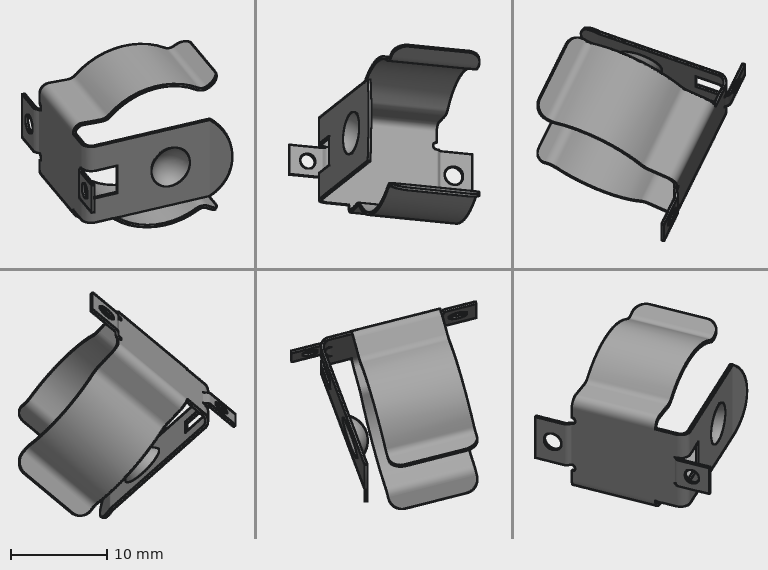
import cadquery as cq
import math


THICKNESS = 0.3
HALF_SHEET = THICKNESS / 2
CORNER_BEND = 0.8 + HALF_SHEET

BASE_LEFT = 3.98
BASE_RIGHT = 15.92
BASE_HALF_HEIGHT = 4.47
BASE_OFFSET = 0.4
BASE_MID_Y = BASE_OFFSET + HALF_SHEET
RELIEF_RADIUS = 0.4

ARM_WIDTH = 9.55
CELL_Y = 10.24
CELL_RADIUS = 8.01
GRIP_RADIUS = CELL_RADIUS + HALF_SHEET
FLARE_RADIUS = 1.2 + HALF_SHEET
MOUTH_RADIUS = 1.0 + HALF_SHEET
MOUTH_ANGLE = 30.0
ARM_LIP_ANGLE = 30.0
ARM_LIP_LENGTH = 1.61
ARM_LIP_CORNER = 1.5

LEAF_LEAN = 5.0
LEAF_LENGTH = 13.22
LEAF_LIP_ANGLE = 15.0
LEAF_LIP_BEND = 0.1 + HALF_SHEET
LEAF_LIP_LENGTH = 2.37
DOME_RADIUS = 2.43
DOME_HEIGHT = 1.53
WINDOW_TOP = 4.12

OVERALL_LENGTH = 19.88
JOGGLE_ANGLE = 45.0
TAB_BEND = 0.3 + HALF_SHEET
LEFT_ROOT_BEND = 0.02 + HALF_SHEET
RIGHT_ROOT_BEND = 0.2 + HALF_SHEET
RIGHT_ROOT = 15.7
LEFT_TAB_HALF_HEIGHT = 2.55
LEFT_HOLE_RADIUS = 1.0
RIGHT_TAB_HALF_HEIGHT = 1.61
RIGHT_HOLE_RADIUS = 0.82
HOLE_INSET = 1.99


def sin(angle):
    return math.sin(math.radians(angle))


def cos(angle):
    return math.cos(math.radians(angle))


def shift(point, heading, distance):
    """Point moved by a distance along a heading, in the plane of the profile."""
    return (point[0] + distance * cos(heading), point[1] + distance * sin(heading))


def advance(point, heading, step):
    """Follow ("straight", length) or ("bend", turn, radius) along the middle of the sheet."""
    if step[0] == "straight":
        return shift(point, heading, step[1]), heading
    turn, radius = step[1:]
    chord = 2 * radius * sin(abs(turn) / 2)
    return shift(point, heading + turn / 2, chord), heading + turn


def strip(plane, point, heading, steps, half_width):
    """Bent strip centred on the profile plane; also returns where its middle ends."""
    solid = cq.Workplane(plane)
    for step in steps:
        end, end_heading = advance(point, heading, step)
        left = shift(point, heading + 90, HALF_SHEET)
        right = shift(point, heading - 90, HALF_SHEET)
        end_left = shift(end, end_heading + 90, HALF_SHEET)
        end_right = shift(end, end_heading - 90, HALF_SHEET)
        outline = cq.Workplane(plane).moveTo(*left)
        if step[0] == "straight":
            outline = outline.lineTo(*end_left).lineTo(*end_right).lineTo(*right)
        else:
            half_step = ("bend", step[1] / 2, step[2])
            middle, middle_heading = advance(point, heading, half_step)
            outline = (
                outline.threePointArc(shift(middle, middle_heading + 90, HALF_SHEET), end_left)
                .lineTo(*end_right)
                .threePointArc(shift(middle, middle_heading - 90, HALF_SHEET), right)
            )
        solid = solid.add(outline.close().extrude(half_width, both=True))
        point, heading = end, end_heading
    return solid.combine(), point, heading


def sheet_plane(profile, point, heading):
    """Plane lying in the middle of the sheet: its x axis continues along the strip."""
    origin = profile.toWorldCoords(point)
    along = profile.toWorldCoords(shift(point, heading, 0.2)) - origin
    normal = along.cross(profile.zDir)
    return cq.Plane(origin=origin, xDir=along, normal=normal)


base = (
    cq.Workplane("XY")
    .box(BASE_RIGHT - BASE_LEFT, THICKNESS, 2 * BASE_HALF_HEIGHT)
    .translate(((BASE_LEFT + BASE_RIGHT) / 2, BASE_MID_Y, 0))
)


def spring_arm():
    """Upper arm: corner bend, flat wall, flare, grip around the cell, mouth bend and lip."""
    wall_z = BASE_HALF_HEIGHT + CORNER_BEND
    flare_angle = math.degrees(math.acos((wall_z + FLARE_RADIUS) / (GRIP_RADIUS + FLARE_RADIUS)))
    flare_start = CELL_Y - (GRIP_RADIUS + FLARE_RADIUS) * sin(flare_angle)
    wall_length = flare_start - BASE_MID_Y - CORNER_BEND

    profile = cq.Plane(origin=(BASE_LEFT + ARM_WIDTH / 2, 0, 0), xDir=(0, 1, 0), normal=(1, 0, 0))
    steps = [
        ("bend", -90, CORNER_BEND),
        ("straight", wall_length),
        ("bend", flare_angle, FLARE_RADIUS),
        ("bend", -flare_angle - MOUTH_ANGLE, GRIP_RADIUS),
        ("bend", MOUTH_ANGLE + ARM_LIP_ANGLE, MOUTH_RADIUS),
    ]
    arm, end, heading = strip(profile, (BASE_MID_Y, BASE_HALF_HEIGHT), 90, steps, ARM_WIDTH / 2)
    lip = (
        cq.Workplane(sheet_plane(profile, end, heading))
        .moveTo(0, -ARM_WIDTH / 2)
        .lineTo(ARM_LIP_LENGTH - ARM_LIP_CORNER, -ARM_WIDTH / 2)
        .radiusArc((ARM_LIP_LENGTH, ARM_LIP_CORNER - ARM_WIDTH / 2), -ARM_LIP_CORNER)
        .lineTo(ARM_LIP_LENGTH, ARM_WIDTH / 2 - ARM_LIP_CORNER)
        .radiusArc((ARM_LIP_LENGTH - ARM_LIP_CORNER, ARM_WIDTH / 2), -ARM_LIP_CORNER)
        .lineTo(0, ARM_WIDTH / 2)
        .close()
        .extrude(HALF_SHEET, both=True)
    )
    return arm.union(lip)


def contact_leaf():
    """Leaf leaning over the base end, with a round-ended lip and a hollow dome."""
    profile = cq.Plane.XY()
    bend = ("bend", 90 + LEAF_LEAN, CORNER_BEND)
    foot = (BASE_RIGHT, BASE_MID_Y)
    leaf_start, leaf_heading = advance(foot, 0, bend)
    steps = [
        bend,
        ("straight", LEAF_LENGTH),
        ("bend", -LEAF_LEAN - LEAF_LIP_ANGLE, LEAF_LIP_BEND),
    ]
    leaf, end, heading = strip(profile, foot, 0, steps, BASE_HALF_HEIGHT)
    lip = (
        cq.Workplane(sheet_plane(profile, end, heading))
        .moveTo(0, -BASE_HALF_HEIGHT)
        .threePointArc((LEAF_LIP_LENGTH, 0), (0, BASE_HALF_HEIGHT))
        .close()
        .extrude(HALF_SHEET, both=True)
    )

    dome_distance = (CELL_Y - leaf_start[1]) / cos(LEAF_LEAN)
    dome_centre = shift(leaf_start, leaf_heading, dome_distance)
    dome_plane = sheet_plane(profile, dome_centre, leaf_heading)
    sphere_radius = (DOME_RADIUS**2 + DOME_HEIGHT**2) / (2 * DOME_HEIGHT)
    sphere_depth = HALF_SHEET + DOME_HEIGHT - sphere_radius

    def ball(radius):
        """Part of a ball about the dome's sphere centre, up to the leaf's far face."""
        sphere = cq.Workplane(dome_plane).workplane(offset=-sphere_depth).sphere(radius)
        keep = (
            cq.Workplane(dome_plane)
            .workplane(offset=HALF_SHEET)
            .circle(sphere_radius)
            .extrude(-2 * sphere_radius)
        )
        return sphere.intersect(keep)

    return leaf.union(lip).union(ball(sphere_radius)).cut(ball(sphere_radius - THICKNESS))


def mounting_tab(profile, reach, root_bend, half_height, hole_radius):
    """Flat tab from its free end, then a joggle up to the base; reach is its extent along the base."""
    bend_sum = TAB_BEND + root_bend
    slope_length = (BASE_OFFSET - bend_sum * (1 - cos(JOGGLE_ANGLE))) / sin(JOGGLE_ANGLE)
    joggle_run = bend_sum * sin(JOGGLE_ANGLE) + slope_length * cos(JOGGLE_ANGLE)
    steps = [
        ("straight", reach - joggle_run),
        ("bend", JOGGLE_ANGLE, TAB_BEND),
        ("straight", slope_length),
        ("bend", -JOGGLE_ANGLE, root_bend),
    ]
    tab, _, _ = strip(profile, (0, HALF_SHEET), 0, steps, half_height)
    hole = (
        cq.Workplane(sheet_plane(profile, (HOLE_INSET, HALF_SHEET), 0))
        .circle(hole_radius)
        .extrude(THICKNESS, both=True)
    )
    return tab.cut(hole)


left_tab = mounting_tab(
    cq.Plane.XY(), BASE_LEFT, LEFT_ROOT_BEND, LEFT_TAB_HALF_HEIGHT, LEFT_HOLE_RADIUS
)
right_tab = mounting_tab(
    cq.Plane(origin=(OVERALL_LENGTH, 0, 0), xDir=(-1, 0, 0), normal=(0, 0, -1)),
    OVERALL_LENGTH - RIGHT_ROOT,
    RIGHT_ROOT_BEND,
    RIGHT_TAB_HALF_HEIGHT,
    RIGHT_HOLE_RADIUS,
)

relief_z = LEFT_TAB_HALF_HEIGHT + RELIEF_RADIUS
reliefs = (
    cq.Workplane("XZ")
    .pushPoints([(BASE_LEFT, relief_z), (BASE_LEFT, -relief_z)])
    .circle(RELIEF_RADIUS)
    .extrude(-2 * BASE_MID_Y)
)

window = (
    cq.Workplane("XY")
    .box(
        OVERALL_LENGTH - RIGHT_ROOT,
        WINDOW_TOP,
        2 * RIGHT_TAB_HALF_HEIGHT,
        centered=(False, False, True),
    )
    .translate((RIGHT_ROOT, 0, 0))
)

upper_arm = spring_arm()
result = (
    base.cut(reliefs)
    .union(upper_arm)
    .union(upper_arm.mirror("XY"))
    .union(contact_leaf())
    .cut(window)
    .union(left_tab)
    .union(right_tab)
    .solids()
)